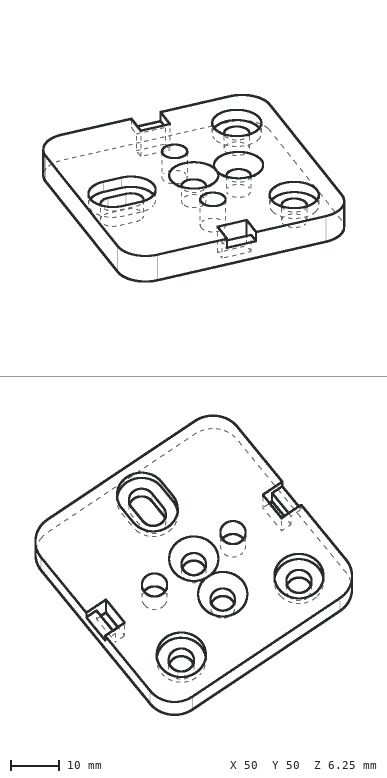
import cadquery as cq

side = 50.0
thickness = 6.25
corner_radius = 6.2

clearance_diameter = 5.2
recess_diameter = 10.1
recess_depth = 2.5
mount_x = 15.0
mount_y = 16.0
slot_travel = 4.0

centre_pitch = 10.0
countersunk_hole_diameter = 5.0
countersink_angle = 90.0

notch_width = 6.5
ledge_length = 2.6
window_length = 2.4
ledge_depth = 2.2


def make_plate():
    plate = cq.Workplane("XY").box(side, side, thickness, centered=(True, True, False))
    return plate.edges("|Z").fillet(corner_radius)


def cut_mounting_holes(body):
    """Two counterbored holes and one recessed slot form a mounting triangle."""
    body = (
        body.faces(">Z").workplane(origin=(0, 0, 0))
        .pushPoints([(-mount_x, mount_y), (mount_x, mount_y)])
        .cboreHole(clearance_diameter, recess_diameter, recess_depth)
    )
    for width, depth in ((recess_diameter, recess_depth), (clearance_diameter, thickness)):
        slot = (
            cq.Workplane("XY", origin=(0, -mount_y, thickness))
            .slot2D(slot_travel + width, width, 90)
            .extrude(-depth)
        )
        body = body.cut(slot)
    return body


def cut_centre_holes(body):
    """Two countersunk holes on the Y axis, with a plain hole on each side."""
    body = (
        body.faces(">Z").workplane(origin=(0, 0, 0))
        .pushPoints([(-centre_pitch, 0), (centre_pitch, 0)])
        .hole(clearance_diameter)
    )
    return (
        body.faces(">Z").workplane(origin=(0, 0, 0))
        .pushPoints([(0, 0), (0, centre_pitch)])
        .cskHole(countersunk_hole_diameter, recess_diameter, countersink_angle)
    )


def cut_side_notch(body, direction):
    """Notch the edge on the given X side (-1 or 1)."""
    ledge_x = direction * (side - ledge_length) / 2
    window_x = direction * (side / 2 - ledge_length - window_length / 2)
    ledge = (
        cq.Workplane("XY", origin=(ledge_x, 0, thickness))
        .rect(ledge_length, notch_width)
        .extrude(-ledge_depth)
    )
    window = (
        cq.Workplane("XY", origin=(window_x, 0, 0))
        .rect(window_length, notch_width)
        .extrude(thickness)
    )
    return body.cut(ledge).cut(window)


result = make_plate()
result = cut_mounting_holes(result)
result = cut_centre_holes(result)
for x_side in (-1, 1):
    result = cut_side_notch(result, x_side)